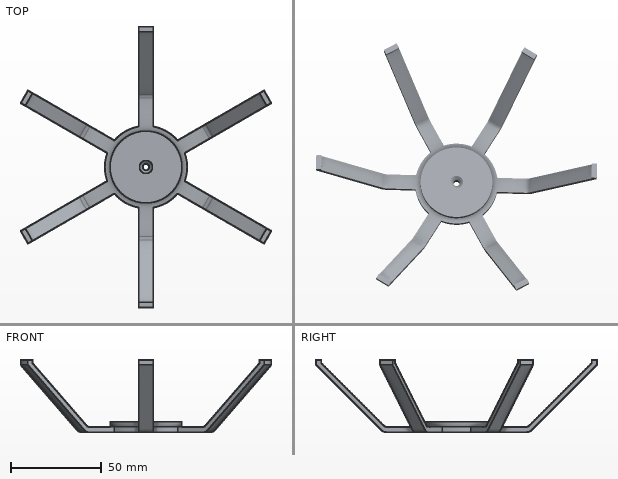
import cadquery as cq
import math

thickness = 3.0
base_diameter = 45.9
disc_diameter = 40.0
hole_diameter = 3.5
countersink_diameter = 7.2
countersink_angle = 90

arm_count = 6
arm_width = 8.1
arm_reach = 78
total_height = 40.2
bend_start = 39.6
rise_thickness = 2.8
inner_bend_radius = 3.0
outer_bend_radius = 4.4


def make_arm():
    """Arm along +X, drawn as a side profile and extruded across its width."""
    inner_offset = bend_start - thickness
    outer_offset = inner_offset + rise_thickness * math.sqrt(2)
    tip_inner = arm_reach - thickness
    arm = (
        cq.Workplane("XZ")
        .moveTo(0, 0)
        .lineTo(outer_offset, 0)
        .lineTo(arm_reach, arm_reach - outer_offset)
        .lineTo(arm_reach, total_height)
        .lineTo(tip_inner, total_height)
        .lineTo(tip_inner, tip_inner - inner_offset)
        .lineTo(bend_start, thickness)
        .lineTo(0, thickness)
        .close()
        .extrude(arm_width / 2, both=True)
    )
    arm = arm.edges(cq.NearestToPointSelector((outer_offset, 0, 0))).fillet(outer_bend_radius)
    return arm.edges(cq.NearestToPointSelector((bend_start, 0, thickness))).fillet(inner_bend_radius)


def make_hub():
    """Round base with a smaller raised disc on top."""
    base = cq.Workplane("XY").circle(base_diameter / 2).extrude(thickness)
    return base.faces(">Z").workplane().circle(disc_diameter / 2).extrude(thickness)


result = make_hub()
arm = make_arm()
for i in range(arm_count):
    result = result.union(arm.rotate((0, 0, 0), (0, 0, 1), 90 + i * 360 / arm_count))

result = (
    result.copyWorkplane(cq.Workplane("XY", origin=(0, 0, 2 * thickness)))
    .cskHole(hole_diameter, countersink_diameter, countersink_angle)
)